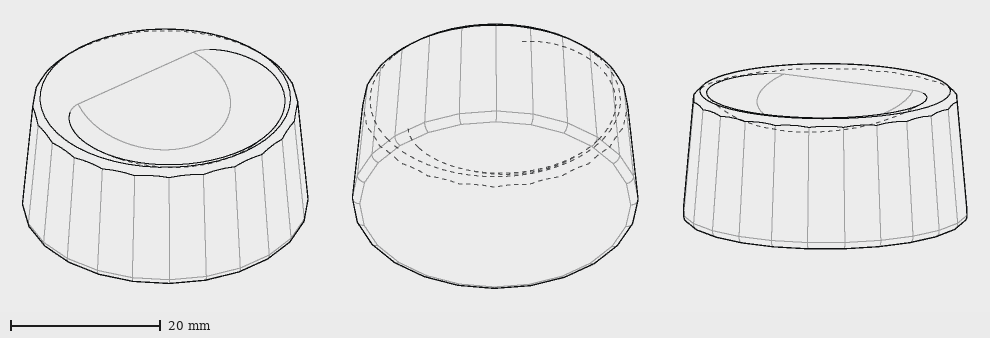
import cadquery as cq
import math

side_count = 24
height = 17.5
widest_across_flats = 37.8
side_taper = 5.0
bottom_round = 1.0

top_face_radius = 16.7
top_bevel = 1.9

recess_edge_x = -6.25
floor_tilt = 13.0
floor_radius = 10.45
floor_centre_x = -2.85
wall_blend = 8.4
cutter_length = 4 * height


def make_body():
    """Tapered polygonal body with a rounded bottom edge."""
    taper = math.radians(side_taper)
    round_inset = bottom_round * (1 / math.cos(taper) - 1 + math.tan(taper))
    base_across_flats = widest_across_flats + 2 * round_inset
    corner_diameter = base_across_flats / math.cos(math.pi / side_count)
    body = (
        cq.Workplane("XY")
        .transformed(rotate=(0, 0, 180 / side_count))
        .polygon(side_count, corner_diameter)
        .extrude(height, taper=side_taper)
    )
    return body.faces("<Z").edges().fillet(bottom_round)


def make_bevel_envelope():
    """Cylinder whose 45 degree top bevel trims the body corners."""
    return (
        cq.Workplane("XY")
        .circle(top_face_radius + top_bevel)
        .extrude(height)
        .faces(">Z")
        .chamfer(top_bevel)
    )


def make_recess():
    """Upright round cutter with a sloping floor and a rolled floor edge."""
    tilt = math.radians(floor_tilt)
    wall_centre_x = floor_centre_x + wall_blend * math.sin(tilt)
    cutter_radius = floor_radius + wall_blend
    cutter = (
        cq.Workplane("XY")
        .circle(cutter_radius)
        .extrude(cutter_length)
        .rotate((0, 0, 0), (0, 0, 1), 180)
        .translate((wall_centre_x, 0, -height))
    )
    slab_size = 2 * cutter_length
    below_floor = (
        cq.Workplane("XY")
        .box(slab_size, slab_size, slab_size, centered=(True, True, False))
        .translate((0, 0, -slab_size))
        .rotate((0, 0, 0), (0, 1, 0), floor_tilt)
        .translate((recess_edge_x, 0, height))
    )
    return cutter.cut(below_floor).faces("<Z").edges().fillet(wall_blend)


trim_start = height / 2
upper_block = (
    cq.Workplane("XY")
    .workplane(offset=trim_start)
    .circle(widest_across_flats)
    .extrude(height - trim_start)
)
bevel_waste = upper_block.cut(make_bevel_envelope())
result = make_body().cut(bevel_waste).cut(make_recess())